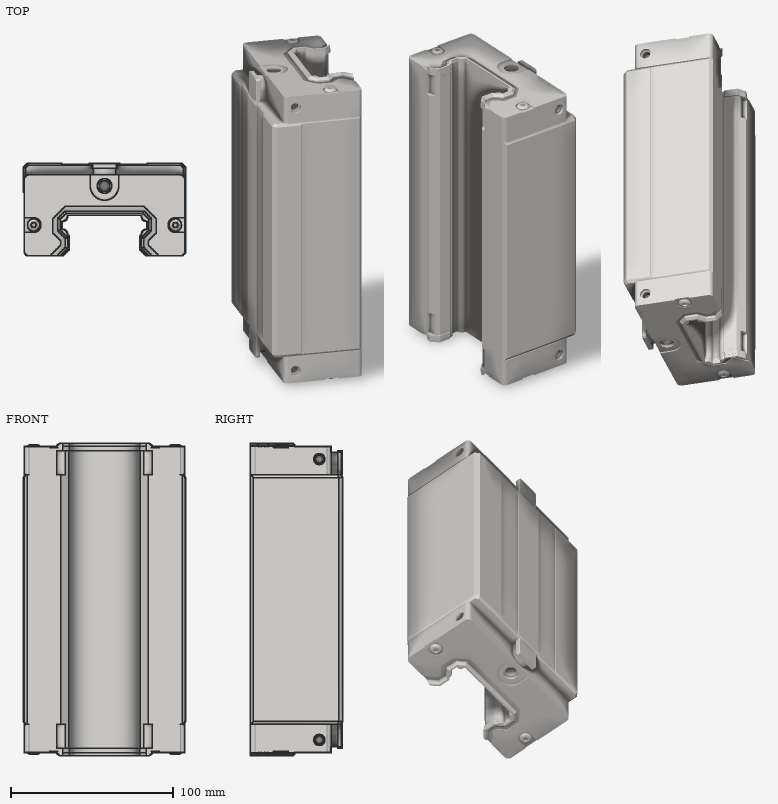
import cadquery as cq
import math

WIDTH = 100.0
HEIGHT = 57.3
LENGTH = 193.0
HALF_WIDTH = WIDTH / 2
HALF_LENGTH = LENGTH / 2

RIM_HEIGHT = 2.1
PLATE_END = HALF_LENGTH - RIM_HEIGHT
PLATE_LENGTH = 17.4
BODY_END = PLATE_END - PLATE_LENGTH
LIP_DEPTH = 2.6
LIP_START = PLATE_END - LIP_DEPTH
OVERSHOOT = 10.0

TOP_CHAMFER = 2.5
BOTTOM_CHAMFER = 2.0
END_CHAMFER_LENGTH = 1.9
END_CHAMFER_INSET = 1.3
SIDE_RELIEF = 0.5
SIDE_RELIEF_TOP = 39.5
TOP_LAND_HALF = 9.5
TOP_GROOVE_OUTER = 26.5
TOP_GROOVE_DEPTH = 0.6

PLATE_HALF_WIDTH = HALF_WIDTH - SIDE_RELIEF
PLATE_TOP = 50.0
PLATE_FILLET = 2.8
FACE_RECESS = 0.7

CHANNEL_TURN = math.radians(45)
CEILING = 25.0
CEILING_HALF = 23.2
WALL_HALF = 26.1
WALL_TOP = CEILING - (WALL_HALF - CEILING_HALF)
WALL_BOTTOM = 16.6
BODY_LIP_HALF = 22.2
BODY_MOUTH_HALF = 26.9
SEAL_LIP_HALF = 21.5
SEAL_MOUTH_HALF = 25.6
RACE_RADIUS = 3.15
RACE_X = 25.9
RACE_YS = (13.4, 24.4)

RIM_WIDTH = 2.7
RIM_CHAMFER = 1.4
RIM_CHAMFER_ANGLE = 45.0
SEAM_STEP = 0.1

RECESS_TOP = 30.7
RECESS_TOP_HALF = 24.2
RECESS_HALF = 31.8
RECESS_SHOULDER = 23.1
RECESS_WAIST_HALF = 26.9
RECESS_WAIST = 9.2
RECESS_FOOT = 6.8

POCKET_INNER = 24.2
POCKET_OUTER = 29.5
POCKET_DEPTH = 2.7

PORT_Y = 43.2
PORT_FLAT_RADIUS = 8.8
PORT_DIAMETER = 9.0
PORT_CORE_DIAMETER = 6.7
PORT_DEPTH = 8.0

SIDE_PORT_Y = 42.7
SIDE_PORT_Z = 86.6
SIDE_PORT_DIAMETER = 6.75
SIDE_PORT_CORE = 5.0
SIDE_PORT_DEPTH = 6.0
PORT_STEP_DEPTH = 2.0

STEM_RADIUS = 7.0
STEM_Z = 83.9
CAP_HALF_WIDTH = 8.2
CAP_BOTTOM = 54.1
CAP_TOP = 56.8
CAP_END = 91.8
CAP_CORNER = 1.0
CAP_EDGE = 0.5

SCREW_X = 43.7
SCREW_Y = 19.1
SCREW_SLOT_WIDTH = 9.0
HEAD_DIAMETER = 7.6
HEAD_HEIGHT = 1.7
HEAD_RIM_HEIGHT = 0.6
HEAD_TOP_RADIUS = 2.3
DOME_BULGE = 0.15
SOCKET_CORNERS = 3.4
SOCKET_SIDES = 6
SOCKET_DEPTH = 1.2


def prism(points, z_from, z_to, taper=0.0):
    """Closed outline in XY extruded from z_from to z_to."""
    outline = cq.Workplane("XY", origin=(0, 0, z_from)).polyline(points).close()
    return outline.extrude(z_to - z_from, taper=taper)


def block(x_from, x_to, y_from, y_to, z_from, z_to):
    size = (x_to - x_from, y_to - y_from, z_to - z_from)
    return cq.Workplane("XY").box(*size, centered=False).translate((x_from, y_from, z_from))


def rod(diameter, x, y, z_from, z_to):
    """Cylinder along Z."""
    return cq.Workplane("XY", origin=(x, y, z_from)).circle(diameter / 2).extrude(z_to - z_from)


def mirrored_outline(right_half):
    """Outline symmetric about X = 0 from its right-hand points, top to bottom."""
    return right_half + [(-x, y) for x, y in reversed(right_half)]


def channel_outline(lip_half, mouth_half, offset=0.0):
    """Channel section grown outwards by offset and prolonged below Y = 0."""
    corner = offset * math.tan(CHANNEL_TURN / 2)
    mouth_rise = mouth_half - lip_half
    lip_top = WALL_BOTTOM - (WALL_HALF - lip_half)
    lip_x = lip_half + offset
    lip_bottom = mouth_rise + corner
    return mirrored_outline([
        (CEILING_HALF + corner, CEILING + offset),
        (WALL_HALF + offset, WALL_TOP + corner),
        (WALL_HALF + offset, WALL_BOTTOM - corner),
        (lip_x, lip_top - corner),
        (lip_x, lip_bottom),
        (lip_x + lip_bottom + OVERSHOOT, -OVERSHOOT),
    ])


def keep_ridges(cutter, setback=0.0):
    """Leaves the rounded raceway ridges, shrunk by setback, out of a channel cutter."""
    for x in (-RACE_X, RACE_X):
        for y in RACE_YS:
            cutter = cutter.cut(rod(2 * (RACE_RADIUS - setback), x, y, -HALF_LENGTH, HALF_LENGTH))
    return cutter


def make_body():
    """Steel block, before the channel is cut."""
    outline = mirrored_outline([
        (HALF_WIDTH - TOP_CHAMFER, HEIGHT),
        (HALF_WIDTH, HEIGHT - TOP_CHAMFER),
        (HALF_WIDTH, -OVERSHOOT),
    ])
    taper = math.degrees(math.atan2(END_CHAMFER_INSET, END_CHAMFER_LENGTH))
    chamfer_start = BODY_END - END_CHAMFER_LENGTH
    sloped_end = prism(outline, chamfer_start, BODY_END, taper)
    body = prism(outline, -chamfer_start, chamfer_start)
    body = body.union(sloped_end).union(sloped_end.mirror("XY"))
    trim = prism([
        (BOTTOM_CHAMFER - PLATE_HALF_WIDTH, 0),
        (HALF_WIDTH - BOTTOM_CHAMFER, 0),
        (HALF_WIDTH, BOTTOM_CHAMFER),
        (HALF_WIDTH, HEIGHT),
        (-HALF_WIDTH, HEIGHT),
        (-HALF_WIDTH, SIDE_RELIEF_TOP),
        (-PLATE_HALF_WIDTH, SIDE_RELIEF_TOP - SIDE_RELIEF),
        (-PLATE_HALF_WIDTH, BOTTOM_CHAMFER),
    ], -BODY_END, BODY_END)
    body = body.intersect(trim)
    for x_from in (-TOP_GROOVE_OUTER, TOP_LAND_HALF):
        x_to = x_from + TOP_GROOVE_OUTER - TOP_LAND_HALF
        groove_floor = HEIGHT - TOP_GROOVE_DEPTH
        body = body.cut(block(x_from, x_to, groove_floor, HEIGHT + OVERSHOOT, -BODY_END, BODY_END))
    return body


def make_plate():
    plate = block(-PLATE_HALF_WIDTH, PLATE_HALF_WIDTH, 0, PLATE_TOP, BODY_END, PLATE_END)
    return plate.edges("|Z").fillet(PLATE_FILLET)


def recess_end_face(plate):
    """Shallow band around the seal rim."""
    waist_step = RECESS_HALF - RECESS_WAIST_HALF
    outline = mirrored_outline([
        (RECESS_TOP_HALF, RECESS_TOP),
        (RECESS_HALF, RECESS_SHOULDER),
        (RECESS_HALF, RECESS_WAIST + waist_step),
        (RECESS_WAIST_HALF, RECESS_WAIST),
        (RECESS_WAIST_HALF, RECESS_FOOT),
        (RECESS_WAIST_HALF + RECESS_FOOT + OVERSHOOT, -OVERSHOOT),
    ])
    return plate.cut(prism(outline, PLATE_END - FACE_RECESS, HALF_LENGTH))


def add_rim(plate):
    """Seal rim with a chamfered outer edge, standing on the recessed band."""
    chamfer_start = HALF_LENGTH - RIM_CHAMFER
    outline = channel_outline(SEAL_LIP_HALF, SEAL_MOUTH_HALF, RIM_WIDTH)
    rim = prism(outline, PLATE_END - FACE_RECESS, chamfer_start)
    rim = rim.union(prism(outline, chamfer_start, HALF_LENGTH, taper=RIM_CHAMFER_ANGLE))
    below = block(-WIDTH, WIDTH, -WIDTH, 0, 0, LENGTH)
    return plate.union(rim.cut(below))


def cut_seal_opening(plate):
    """Narrow seal lip with a fine step where the rim leaves the end plate."""
    levels = (LIP_START, PLATE_END, HALF_LENGTH)
    for step, (z_from, z_to) in enumerate(zip(levels, levels[1:]), start=1):
        setback = step * SEAM_STEP
        outline = channel_outline(SEAL_LIP_HALF, SEAL_MOUTH_HALF, setback)
        plate = plate.cut(keep_ridges(prism(outline, z_from, z_to), setback))
    return plate


def cut_end_port(plate):
    """Round-bottomed flat and counterbored port in the end face."""
    floor = PLATE_END - FACE_RECESS
    flat = rod(2 * PORT_FLAT_RADIUS, 0, PORT_Y, floor, HALF_LENGTH)
    flat = flat.union(block(-PORT_FLAT_RADIUS, PORT_FLAT_RADIUS, PORT_Y, HEIGHT, floor, HALF_LENGTH))
    plate = plate.cut(flat)
    return plate.cut(port_cutter(PORT_DIAMETER, PORT_CORE_DIAMETER, PORT_DEPTH).translate((0, PORT_Y, floor)))


def port_cutter(mouth, core, depth):
    """Counterbored blind hole below Z = 0."""
    return rod(mouth, 0, 0, -PORT_STEP_DEPTH, 0).union(rod(core, 0, 0, -depth, 0))


def cut_side_ports(plate):
    cutter = port_cutter(SIDE_PORT_DIAMETER, SIDE_PORT_CORE, SIDE_PORT_DEPTH)
    for side in (-1, 1):
        turned = cutter.rotate((0, 0, 0), (0, 1, 0), side * 90)
        plate = plate.cut(turned.translate((side * PLATE_HALF_WIDTH, SIDE_PORT_Y, SIDE_PORT_Z)))
    return plate


def cut_mouth_pockets(plate):
    for x_from in (-POCKET_OUTER, POCKET_INNER):
        x_to = x_from + POCKET_OUTER - POCKET_INNER
        plate = plate.cut(block(x_from, x_to, -OVERSHOOT, POCKET_DEPTH, BODY_END, LIP_START))
    return plate


def screw_head():
    """Domed head standing on Z = 0."""
    radius = HEAD_DIAMETER / 2
    dome_height = HEAD_HEIGHT - HEAD_RIM_HEIGHT
    mid_radius = (radius + HEAD_TOP_RADIUS) / 2 + DOME_BULGE
    mid_height = HEAD_RIM_HEIGHT + dome_height / 2 + DOME_BULGE
    return (cq.Workplane("XZ").lineTo(radius, 0).lineTo(radius, HEAD_RIM_HEIGHT)
            .threePointArc((mid_radius, mid_height), (HEAD_TOP_RADIUS, HEAD_HEIGHT))
            .lineTo(0, HEAD_HEIGHT).close().revolve(360, (0, 0, 0), (0, 1, 0)))


def add_screws(plate):
    """Button-head screws sitting in slots open to the sides."""
    floor = PLATE_END - FACE_RECESS
    slot_half = SCREW_SLOT_WIDTH / 2
    for side in (-1, 1):
        x = side * SCREW_X
        x_from, x_to = sorted((x, side * WIDTH))
        plate = plate.cut(rod(SCREW_SLOT_WIDTH, x, SCREW_Y, floor, HALF_LENGTH))
        plate = plate.cut(block(x_from, x_to, SCREW_Y - slot_half, SCREW_Y + slot_half, floor, HALF_LENGTH))
        head = screw_head().translate((x, SCREW_Y, floor))
        socket = (cq.Workplane("XY", origin=(x, SCREW_Y, floor + HEAD_HEIGHT - SOCKET_DEPTH))
                  .polygon(SOCKET_SIDES, SOCKET_CORNERS).extrude(SOCKET_DEPTH))
        plate = plate.union(head.cut(socket))
    return plate


def make_connector():
    """Lubrication stem with a cap, on top of the plate against the body."""
    stem = (cq.Workplane("XZ", origin=(0, PLATE_TOP, STEM_Z)).circle(STEM_RADIUS)
            .extrude(PLATE_TOP - CAP_BOTTOM))
    stem = stem.union(block(-STEM_RADIUS, STEM_RADIUS, PLATE_TOP, CAP_BOTTOM, BODY_END, STEM_Z))
    cap = block(-CAP_HALF_WIDTH, CAP_HALF_WIDTH, CAP_BOTTOM, CAP_TOP, BODY_END, CAP_END)
    cap = cap.edges("|Y and >Z").chamfer(CAP_CORNER)
    cap = cap.edges("|Z and >Y").chamfer(CAP_EDGE)
    return stem.union(cap)


def cut_channel(carriage):
    """Rail channel between the two seal lips, keeping rounded raceway ridges."""
    cutter = prism(channel_outline(BODY_LIP_HALF, BODY_MOUTH_HALF), -LIP_START, LIP_START)
    return carriage.cut(keep_ridges(cutter))


def make_finished_plate():
    """Complete end assembly at +Z."""
    plate = make_plate()
    plate = recess_end_face(plate)
    plate = add_rim(plate)
    plate = cut_seal_opening(plate)
    plate = cut_end_port(plate)
    plate = cut_side_ports(plate)
    plate = cut_mouth_pockets(plate)
    plate = add_screws(plate)
    return plate.union(make_connector())


end_plate = make_finished_plate()
result = make_body().union(end_plate).union(end_plate.mirror("XY"))
result = cut_channel(result)